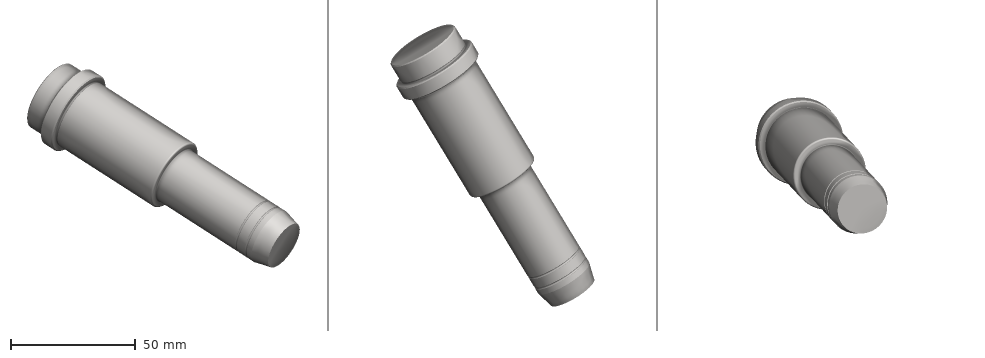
import cadquery as cq

length = 120.0

body_radius = 30.0 / 2
body_end = 64.1
spigot_chamfer = 0.5
body_fillet = 0.7

collar_radius = 35.0 / 2
collar_start = 9.0
collar_width = 6.0
collar_end = collar_start + collar_width
collar_chamfer = 0.5

relief_radius = 0.5

shaft_radius = 24.0 / 2
shoulder_fillet = 0.4
nose_start = 112.9
nose_radius = 20.4 / 2

oil_groove_centers = (105.0, 110.0)
oil_groove_radius = 0.5


def half_round_groove(outline, center, groove_radius, surface_radius):
    """Run along the surface to a half-round groove and follow it to its far edge."""
    return outline.lineTo(center - groove_radius, surface_radius).threePointArc(
        (center, surface_radius - groove_radius),
        (center + groove_radius, surface_radius),
    )


def draw_spigot(outline):
    """Chamfered head spigot with the relief groove in front of the collar."""
    outline = outline.lineTo(0, body_radius - spigot_chamfer).lineTo(spigot_chamfer, body_radius)
    return half_round_groove(outline, collar_start - relief_radius, relief_radius, body_radius)


def draw_collar(outline):
    shoulder = collar_radius - collar_chamfer
    return (
        outline.lineTo(collar_start, shoulder)
        .lineTo(collar_start + collar_chamfer, collar_radius)
        .lineTo(collar_end - collar_chamfer, collar_radius)
        .lineTo(collar_end, shoulder)
        .lineTo(collar_end, body_radius)
    )


def draw_body(outline):
    """Body from the relief groove behind the collar to the rounded corner at the shaft."""
    relief_bottom = (collar_end + relief_radius, body_radius - relief_radius)
    relief_end = (collar_end + 2 * relief_radius, body_radius)
    return (
        outline.threePointArc(relief_bottom, relief_end)
        .lineTo(body_end - body_fillet, body_radius)
        .radiusArc((body_end, body_radius - body_fillet), body_fillet)
        .lineTo(body_end, shaft_radius + shoulder_fillet)
        .radiusArc((body_end + shoulder_fillet, shaft_radius), -shoulder_fillet)
    )


def draw_shaft(outline):
    """Shaft with half-round grooves, ending in the tapered nose."""
    for center in oil_groove_centers:
        outline = half_round_groove(outline, center, oil_groove_radius, shaft_radius)
    return outline.lineTo(nose_start, shaft_radius).lineTo(length, nose_radius).lineTo(length, 0)


profile = cq.Workplane("XY").moveTo(0, 0)
for draw_section in (draw_spigot, draw_collar, draw_body, draw_shaft):
    profile = draw_section(profile)

result = profile.close().revolve(360, (0, 0, 0), (1, 0, 0))